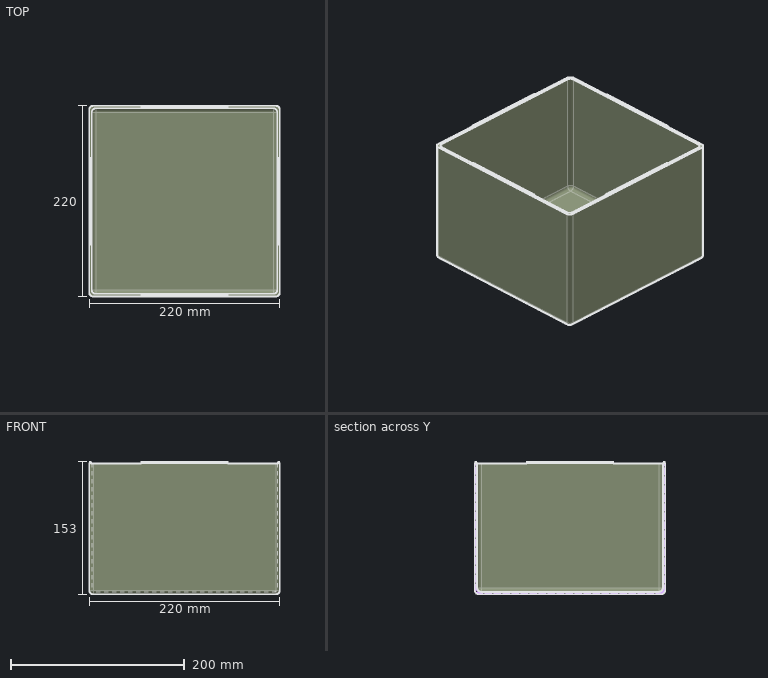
import cadquery as cq

side = 220.0
total_height = 153.0
wall = 3.0
ridge_height = 2.0
outer_radius = 5.0
inner_radius = 4.8
rim_height = total_height - ridge_height

ridge_length = 100.0
ridge_base = 2.0
ridge_top = 0.9
SIDE_COUNT = 4


def rounded_block(width, bottom, radius):
    """Square block up to the rim, rounded on its upright and bottom edges."""
    block = cq.Workplane("XY").workplane(offset=bottom).rect(width, width).extrude(rim_height - bottom)
    return block.edges("|Z or <Z").fillet(radius)


def rim_ridge():
    """Tapered ridge along Y, centred on the thickness of the +X wall."""
    middle = (side - wall) / 2
    return (
        cq.Workplane("XZ")
        .moveTo(middle - ridge_base / 2, rim_height)
        .lineTo(middle - ridge_top / 2, total_height)
        .lineTo(middle + ridge_top / 2, total_height)
        .lineTo(middle + ridge_base / 2, rim_height)
        .close()
        .extrude(ridge_length / 2, both=True)
    )


outer_body = rounded_block(side, 0, outer_radius)
cavity = rounded_block(side - 2 * wall, wall, inner_radius)
result = outer_body.cut(cavity)

for index in range(SIDE_COUNT):
    turn = index * 360 / SIDE_COUNT
    result = result.union(rim_ridge().rotate((0, 0, 0), (0, 0, 1), turn))